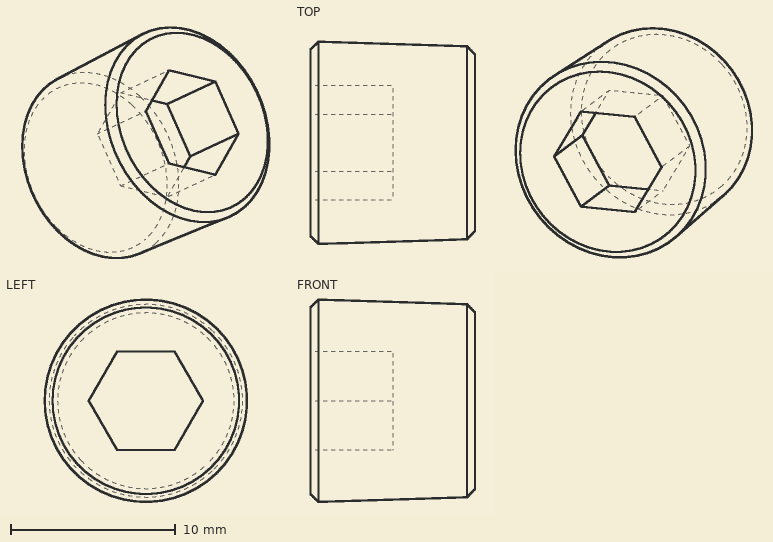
import cadquery as cq
import math

length = 10.0
wide_end_diameter = 12.315
taper = 1 / 16
chamfer = 0.5

socket_across_flats = 6.0
socket_depth = 5.0


def taper_radius(x):
    """Radius of the tapered side at a distance x from the wide end."""
    return (wide_end_diameter - taper * x) / 2


def plug_body():
    """Half profile (X, radius) revolved about the X axis."""
    narrow_rim_x = length - chamfer
    profile = [
        (0, 0),
        (0, taper_radius(0) - chamfer),
        (chamfer, taper_radius(chamfer)),
        (narrow_rim_x, taper_radius(narrow_rim_x)),
        (length, taper_radius(length) - chamfer),
        (length, 0),
    ]
    return cq.Workplane("XY").polyline(profile).close().revolve(360, (0, 0, 0), (1, 0, 0))


def hex_socket():
    across_corners = socket_across_flats / math.cos(math.pi / 6)
    return cq.Workplane("YZ").polygon(6, across_corners).extrude(socket_depth)


result = plug_body().cut(hex_socket())